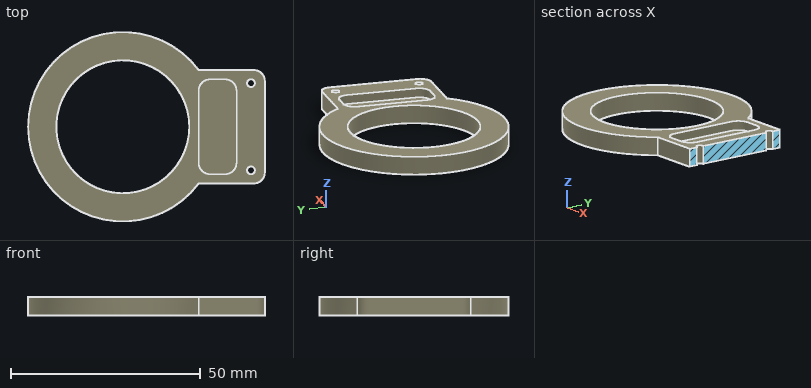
import cadquery as cq

thickness = 5.0
ring_outer_diameter = 50.0
ring_inner_diameter = 35.0

tab_end_x = 37.5
tab_width = 30.0
tab_corner_radius = 3.0

pocket_length_x = 10.0
pocket_length_y = 25.0
pocket_corner_radius = 3.0
pocket_depth = 2.5
pocket_center_x = 25.0

hole_diameter = 2.0
hole_center_x = 33.8
hole_spacing = 23.0


def make_ring_blank():
    return cq.Workplane("XY").circle(ring_outer_diameter / 2).extrude(thickness)


def make_tab():
    """Plate from the ring centre to the tab end, with its two end corners rounded."""
    return (
        cq.Workplane("XY")
        .center(tab_end_x / 2, 0)
        .rect(tab_end_x, tab_width)
        .extrude(thickness)
        .edges("|Z and >X")
        .fillet(tab_corner_radius)
    )


def make_bore():
    return cq.Workplane("XY").circle(ring_inner_diameter / 2).extrude(thickness)


def make_pocket():
    return (
        cq.Workplane("XY", origin=(pocket_center_x, 0, thickness - pocket_depth))
        .rect(pocket_length_x, pocket_length_y)
        .extrude(pocket_depth)
        .edges("|Z")
        .fillet(pocket_corner_radius)
    )


def make_holes():
    hole_centers = [(hole_center_x, side * hole_spacing / 2) for side in (-1, 1)]
    return (
        cq.Workplane("XY")
        .pushPoints(hole_centers)
        .circle(hole_diameter / 2)
        .extrude(thickness)
    )


body = make_ring_blank().union(make_tab())
result = body.cut(make_bore()).cut(make_pocket()).cut(make_holes())